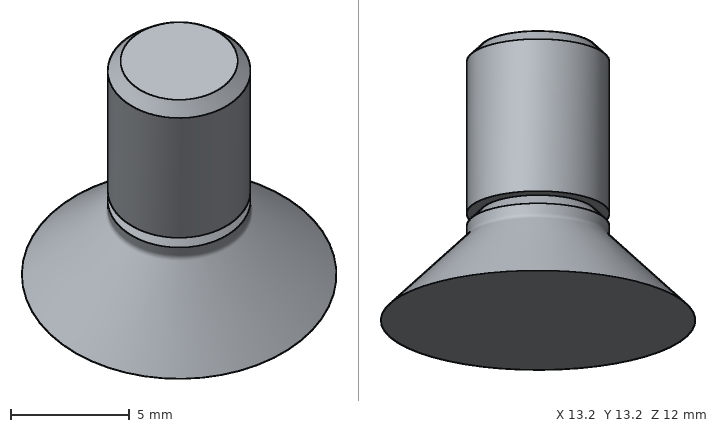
import cadquery as cq
import math

head_radius = 6.62
total_height = 12.0
shank_radius = 3.0
chamfer = 0.54
thread_start = 4.72
neck_fillet = 0.3

cone_height = head_radius - shank_radius
blend_length = neck_fillet * math.tan(math.radians(45 / 2))
blend_step = blend_length * math.cos(math.radians(45))
blend_center_radius = shank_radius + neck_fillet
blend_center_height = cone_height + blend_length
blend_mid = (
    blend_center_radius - neck_fillet * math.cos(math.radians(45 / 2)),
    blend_center_height - neck_fillet * math.sin(math.radians(45 / 2)),
)
reduced_radius = shank_radius - chamfer

profile = (
    cq.Workplane("XZ")
    .lineTo(head_radius, 0)
    .lineTo(shank_radius + blend_step, cone_height - blend_step)
    .threePointArc(blend_mid, (shank_radius, blend_center_height))
    .lineTo(shank_radius, thread_start - chamfer)
    .lineTo(reduced_radius, thread_start)
    .lineTo(shank_radius, thread_start)
    .lineTo(shank_radius, total_height - chamfer)
    .lineTo(reduced_radius, total_height)
    .lineTo(0, total_height)
    .close()
)

result = profile.revolve(360, (0, 0, 0), (0, 1, 0))